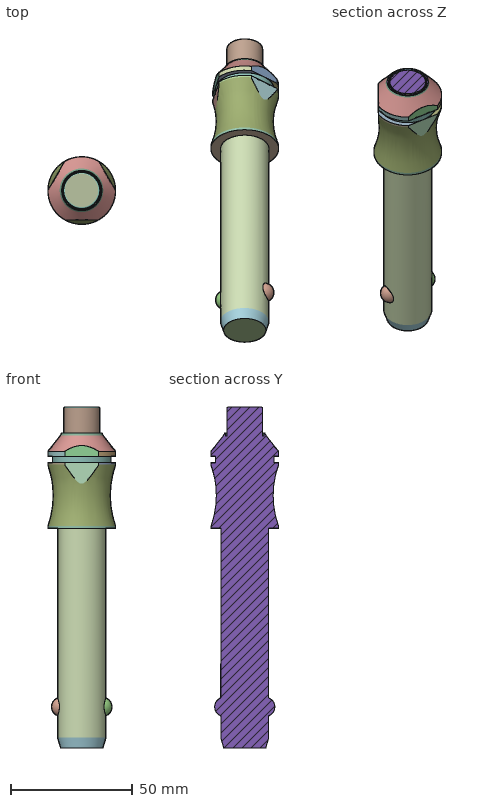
import cadquery as cq
import math

total_height = 140.5

shank_radius = 10.0
tip_height = 4.2
tip_end_radius = 8.7

ball_radius = 4.0
ball_reach = 12.5
ball_height = 17.0

handle_radius = 28.0 / 2
flat_distance = handle_radius * math.cos(math.radians(30))
neck_radius = flat_distance
waist_radius = 11.8
grip_bottom = 90.5
grip_top = 117.6
rim_height = 1.0
waist_height = (grip_bottom + grip_top) / 2
head_bottom = 120.2
head_shoulder = 122.3
head_bevel_start = 128.6
head_bevel_radius = 9.0
head_top = 129.9
head_top_radius = 8.3

button_radius = 7.5
button_rounding = 0.5
recess_radius = 7.9
recess_depth = 1.3


def disc(radius, bottom, top):
    return cq.Workplane("XY").workplane(offset=bottom).circle(radius).extrude(top - bottom)


def make_shank():
    profile = (
        cq.Workplane("XZ")
        .lineTo(tip_end_radius, 0)
        .lineTo(shank_radius, tip_height)
        .lineTo(shank_radius, grip_bottom)
        .lineTo(0, grip_bottom)
        .close()
    )
    return profile.revolve(360, (0, 0), (0, 1))


def make_handle():
    profile = (
        cq.Workplane("XZ")
        .moveTo(0, grip_bottom)
        .lineTo(handle_radius, grip_bottom)
        .lineTo(handle_radius, grip_bottom + rim_height)
        .threePointArc((waist_radius, waist_height), (handle_radius, grip_top - rim_height))
        .lineTo(handle_radius, grip_top)
        .lineTo(neck_radius, grip_top)
        .lineTo(neck_radius, head_bottom)
        .lineTo(handle_radius, head_bottom)
        .lineTo(handle_radius, head_shoulder)
        .lineTo(head_bevel_radius, head_bevel_start)
        .lineTo(head_top_radius, head_top)
        .lineTo(0, head_top)
        .close()
    )
    return profile.revolve(360, (0, 0), (0, 1))


def make_flats_envelope():
    """Three-sided prism whose sides cut the finger flats on the head and upper grip."""
    corner_radius = 2 * flat_distance
    corners = [
        (corner_radius * math.cos(math.radians(angle)), corner_radius * math.sin(math.radians(angle)))
        for angle in (90, 210, 330)
    ]
    return (
        cq.Workplane("XY")
        .workplane(offset=waist_height)
        .polyline(corners)
        .close()
        .extrude(head_top - waist_height)
    )


def cut_flats(handle):
    lower_grip = handle.intersect(disc(handle_radius, grip_bottom, waist_height))
    return handle.intersect(make_flats_envelope()).union(lower_grip)


def make_button():
    button = disc(button_radius, head_top - recess_depth, total_height)
    return button.faces(">Z").fillet(button_rounding)


def make_ball(side):
    center_x = side * (ball_reach - ball_radius)
    return cq.Workplane("XY").sphere(ball_radius).translate((center_x, 0, ball_height))


handle = cut_flats(make_handle())
handle = handle.cut(disc(recess_radius, head_top - recess_depth, head_top))

result = make_shank().union(handle).union(make_button())
for side in (-1, 1):
    result = result.union(make_ball(side))